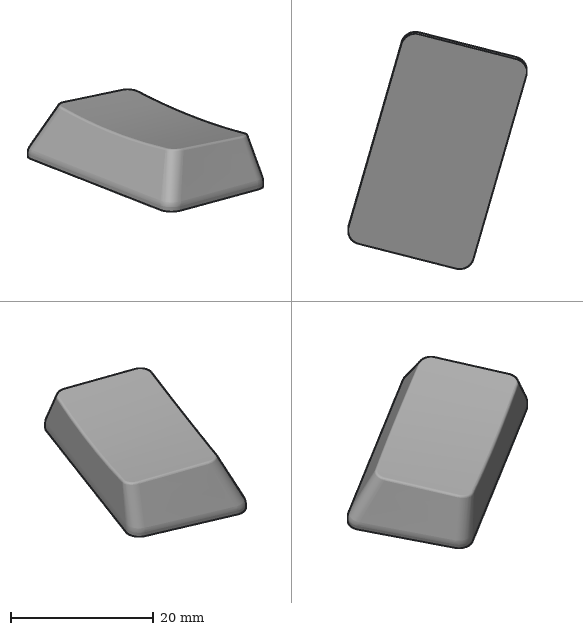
import cadquery as cq
import math

length = 32.45
width = 18.17
corner_radius = 2.0
skirt_height = 0.68

shoulder_height = 0.65

side_lean = 0.47
front_lean = 0.49
back_lean = 0.1
blank_height = 8.27
blank_corner_radius = 1.75

dish_radius = 124.93
dish_bottom = 6.85
dish_tilt = 3.1
dish_cutter_length = 2 * width
top_edge_radius = 0.4


def rounded_outline(z, lean_rise, radius, tilt=0.0):
    """Rounded rectangle where the four leaning walls meet a plane.

    The plane crosses mid width at height z and drops to the back by the tilt angle.
    Each wall has moved in there by its lean over lean_rise, adjusted for the tilt.
    """
    drop = math.tan(math.radians(tilt))
    front = (-width / 2 + front_lean * lean_rise) / (1 + front_lean * drop)
    back = (width / 2 - back_lean * lean_rise) / (1 - back_lean * drop)
    middle = (front + back) / 2
    outline_length = length - 2 * side_lean * lean_rise
    outline_width = (back - front) / math.cos(math.radians(tilt))
    centre = cq.Vector(0, middle, z - middle * drop)
    tilted = cq.Location(centre, cq.Vector(1, 0, 0), -tilt)
    return cq.Sketch().rect(outline_length, outline_width).vertices().fillet(radius).moved(tilted)


def make_blank():
    """Skirt, shoulder and leaning walls, up to a flat top parallel to the dish."""
    skirt_outline = rounded_outline(skirt_height, 0, corner_radius)
    skirt = cq.Workplane("XY").placeSketch(skirt_outline).extrude(-skirt_height)

    shoulder_outlines = []
    for fraction in (0, 0.5, 1):
        z = skirt_height + fraction * shoulder_height
        lean_rise = fraction**2 * shoulder_height / 2
        shoulder_outlines.append(rounded_outline(z, lean_rise, corner_radius))
    shoulder = cq.Workplane("XY").placeSketch(*shoulder_outlines).loft()

    blank_rise = blank_height - skirt_height - shoulder_height / 2
    blank_outline = rounded_outline(blank_height, blank_rise, blank_corner_radius, dish_tilt)
    body = cq.Workplane("XY").placeSketch(shoulder_outlines[-1], blank_outline).loft(ruled=True)
    return skirt.union(shoulder).union(body)


def make_dish_cutter():
    """Large cylinder along Y, tipped so that the dish rises to the front."""
    return (
        cq.Workplane("XZ")
        .circle(dish_radius)
        .extrude(dish_cutter_length / 2, both=True)
        .translate((0, 0, dish_radius))
        .rotate((0, 0, 0), (1, 0, 0), -dish_tilt)
        .translate((0, 0, dish_bottom))
    )


dished = make_blank().cut(make_dish_cutter())
dish_face = cq.selectors.NearestToPointSelector((0, 0, dish_bottom))
result = dished.faces(dish_face).edges().fillet(top_edge_radius)